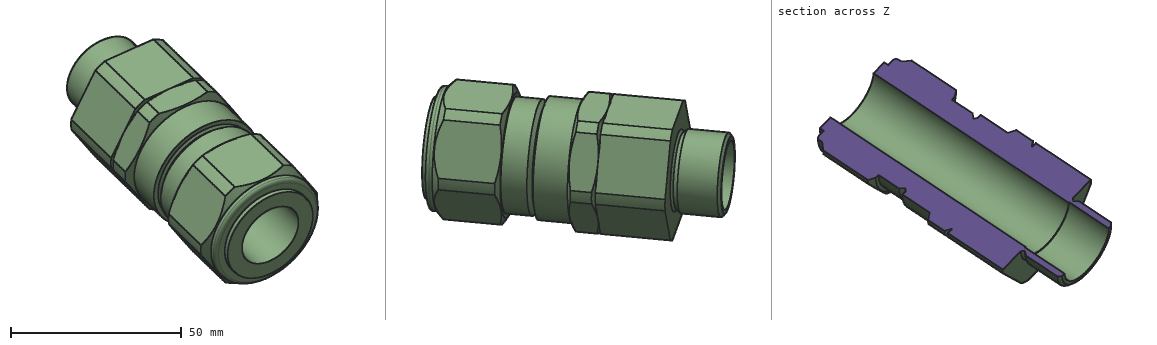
import cadquery as cq
import math


across_flats = 37.5
hex_corner_radius = 1.1 * across_flats / 2
flat_radius = across_flats / 2

spigot_end = 14.2
body_start = 14.95
body_split = 35.75
rear_hexagon_end = 44.45
barrel_end = 54.65
groove_bottom = 55.4
neck_start = 56.7
nut_start = 64.45
nut_end = 84.65
collar_end = 86.85
total_length = 88.35

spigot_radius = 12.5
spigot_lead_in_length = 0.9
spigot_lead_in_depth = 1.05
spigot_runout_length = 1.4
spigot_runout_radius = 11.4
spigot_shoulder_radius = 12.2
barrel_radius = 18.3
barrel_lip_radius = 16.8
groove_radius = 16.0
neck_radius = 17.25
nut_face_radius = 18.5
collar_radius = nut_face_radius
collar_fillet = 1.1
tail_radius = 15.1

bore_radius = 10.0
spigot_bore_radius = 10.25

flat_chamfer_slope = math.tan(math.radians(30))
long_chamfer_slope = math.tan(math.radians(45))


def revolve_profile(points):
    """Turn a closed (x, radius) outline about the X axis."""
    return cq.Workplane("XY").polyline(points).close().revolve(360, (0, 0), (1, 0))


def cylinder(start, end, radius):
    return cq.Workplane("YZ").workplane(offset=start).circle(radius).extrude(end - start)


def hexagon(start, end):
    """Hexagonal bar with its corners rounded to the corner radius."""
    point_diameter = across_flats / math.cos(math.radians(30))
    bar = cq.Workplane("YZ").workplane(offset=start).polygon(6, point_diameter).extrude(end - start)
    return bar.intersect(cylinder(start, end, hex_corner_radius))


def chamfered_hexagon(start, end, start_radius, end_radius, end_slope):
    """Hexagon whose corners are turned down conically to the given end-face radii."""
    start_chamfer = (hex_corner_radius - start_radius) * flat_chamfer_slope
    end_chamfer = (hex_corner_radius - end_radius) * end_slope
    envelope = revolve_profile([
        (start, 0),
        (start, start_radius),
        (start + start_chamfer, hex_corner_radius),
        (end - end_chamfer, hex_corner_radius),
        (end, end_radius),
        (end, 0),
    ])
    return hexagon(start, end).intersect(envelope)


def spigot():
    """Entry spigot with a lead-in chamfer and a V-shaped run-out against the body."""
    return revolve_profile([
        (0, 0),
        (0, spigot_radius - spigot_lead_in_depth),
        (spigot_lead_in_length, spigot_radius),
        (spigot_end - spigot_runout_length, spigot_radius),
        (spigot_end, spigot_runout_radius),
        (body_start, spigot_shoulder_radius),
        (body_start, 0),
    ])


def body():
    """Plain hexagon followed by a chamfered one that runs out onto the barrel."""
    front_hexagon = hexagon(body_start, body_split)
    rear_hexagon = chamfered_hexagon(
        body_split, rear_hexagon_end, flat_radius, barrel_radius, flat_chamfer_slope
    )
    return front_hexagon.union(rear_hexagon)


def barrel():
    """Round barrel, V groove and the neck that enters the nut."""
    return revolve_profile([
        (body_split, 0),
        (body_split, barrel_radius),
        (barrel_end, barrel_radius),
        (barrel_end, barrel_lip_radius),
        (groove_bottom, groove_radius),
        (neck_start, neck_radius),
        (nut_start, neck_radius),
        (nut_start, 0),
    ])


def clamping_nut():
    """Hexagon nut with a rounded collar and a short round tail behind it."""
    nut = chamfered_hexagon(nut_start, nut_end, nut_face_radius, collar_radius, long_chamfer_slope)
    collar = cylinder(nut_end, collar_end, collar_radius).faces(">X").edges().fillet(collar_fillet)
    tail = cylinder(collar_end, total_length, tail_radius)
    return nut.union(collar).union(tail)


result = spigot().union(body()).union(barrel()).union(clamping_nut())
result = result.cut(cylinder(0, total_length, bore_radius))
result = result.cut(cylinder(0, body_start, spigot_bore_radius))